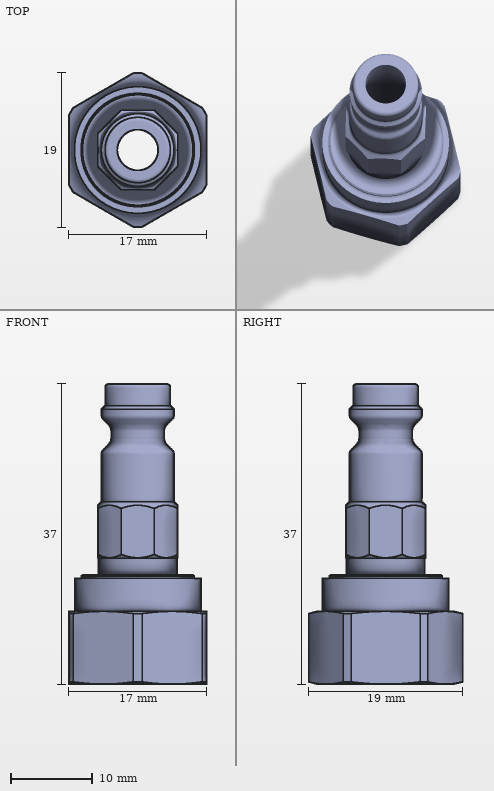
import cadquery as cq
import math

bore_diameter = 5.0
cutter_radius = 14.8

total_height = 37.0
nut_top = 8.95
nut_collar_top = 13.02
ring_top = 13.45
octagon_bottom = 15.5
octagon_top = 22.5
neck_bottom = 29.82
neck_top = 31.7
lip_top = 33.9

nut_across_flats = 17.0
nut_corner_radius = 9.5
nut_chamfer_angle = 15.0
nut_collar_radius = 15.6 / 2

ring_radius = 14.0 / 2
ring_chamfer = 0.2
shank_radius = 9.7 / 2

octagon_across_flats = 9.85
octagon_chamfer_angle = 45.0

body_radius = 8.95 / 2
neck_radius = 6.6 / 2
tip_radius = 8.05 / 2
neck_fillet = 1.0
shoulder_fillet = 0.5
tip_fillet = 0.45


def cylinder(radius, bottom, top):
    return cq.Workplane("XY").workplane(offset=bottom).circle(radius).extrude(top - bottom)


def polygon_prism(sides, across_flats, bottom, top):
    """Regular prism with two flats facing +X and -X."""
    corner_diameter = across_flats / math.cos(math.pi / sides)
    prism = cq.Workplane("XY").workplane(offset=bottom).polygon(sides, corner_diameter).extrude(top - bottom)
    return prism.rotate((0, 0, 0), (0, 0, 1), 180 / sides)


def chamfer_end(solid, end_height, inward, start_radius, angle):
    """Turn a conical chamfer on one end; inward is -1 for a top end and +1 for a bottom end."""
    drop = (cutter_radius - start_radius) * math.tan(math.radians(angle))
    cutter = (
        cq.Workplane("XZ")
        .moveTo(start_radius, end_height)
        .lineTo(cutter_radius, end_height)
        .lineTo(cutter_radius, end_height + inward * drop)
        .close()
        .revolve(360, (0, 0, 0), (0, 1, 0))
    )
    return solid.cut(cutter)


def make_nut():
    flat_radius = nut_across_flats / 2
    nut = polygon_prism(6, nut_across_flats, 0, nut_top)
    nut = nut.intersect(cylinder(nut_corner_radius, 0, nut_top))
    nut = chamfer_end(nut, nut_top, -1, flat_radius, nut_chamfer_angle)
    nut = chamfer_end(nut, 0, 1, flat_radius, nut_chamfer_angle)
    return nut.union(cylinder(nut_collar_radius, nut_top, nut_collar_top))


def make_ring_and_shank():
    ring = cylinder(ring_radius, nut_collar_top, ring_top).faces(">Z").edges().chamfer(ring_chamfer)
    return ring.union(cylinder(shank_radius, ring_top, octagon_bottom))


def make_octagon():
    octagon = polygon_prism(8, octagon_across_flats, octagon_bottom, octagon_top)
    octagon = chamfer_end(octagon, octagon_top, -1, body_radius, octagon_chamfer_angle)
    return chamfer_end(octagon, octagon_bottom, 1, shank_radius, octagon_chamfer_angle)


def make_plug():
    """Turned plug with a 45 degree conical shoulder on each side of its neck."""
    shoulder = body_radius - neck_radius
    lip_chamfer = body_radius - tip_radius
    shoulder_bottom = neck_bottom - shoulder
    shoulder_top = neck_top + shoulder
    plug = (
        cq.Workplane("XZ")
        .moveTo(0, octagon_top)
        .lineTo(body_radius, octagon_top)
        .lineTo(body_radius, shoulder_bottom)
        .lineTo(neck_radius, neck_bottom)
        .lineTo(neck_radius, neck_top)
        .lineTo(body_radius, shoulder_top)
        .lineTo(body_radius, lip_top)
        .lineTo(tip_radius, lip_top + lip_chamfer)
        .lineTo(tip_radius, total_height)
        .lineTo(0, total_height)
        .close()
        .revolve(360, (0, 0, 0), (0, 1, 0))
    )

    def edge_at(height, radius):
        margin = 0.05
        reach = radius + margin
        return cq.selectors.BoxSelector(
            (-reach, -reach, height - margin), (reach, reach, height + margin), boundingbox=True
        )

    for height in (neck_bottom, neck_top):
        plug = plug.edges(edge_at(height, neck_radius)).fillet(neck_fillet)
    for height in (shoulder_bottom, shoulder_top):
        plug = plug.edges(edge_at(height, body_radius)).fillet(shoulder_fillet)
    return plug.faces(">Z").edges().fillet(tip_fillet)


fitting = make_nut().union(make_ring_and_shank()).union(make_octagon()).union(make_plug())
result = fitting.cut(cylinder(bore_diameter / 2, 0, total_height))